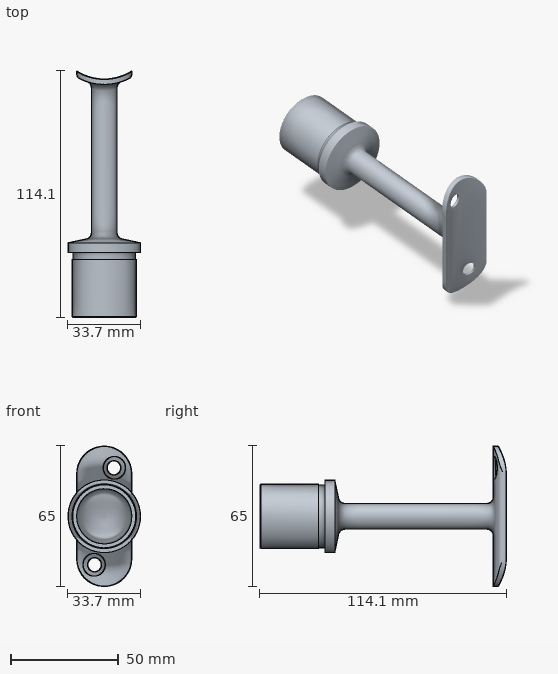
import cadquery as cq
import math

total_length = 114.1

sleeve_radius = 29.9 / 2
bore_radius = 25.6 / 2
sleeve_chamfer = 0.3
groove_radius = 29.2 / 2
groove_width = 3.1
collar_radius = 33.7 / 2
collar_start = 30.0
collar_width = 4.6
collar_end = collar_start + collar_width
floor_thickness = 1.9
bore_fillet = 1.8

stem_radius = 12.0 / 2
cone_slope = math.tan(math.radians(12))
stem_fillet = 2.9
joint_margin = 0.1

plate_width = 25.6
plate_height = 65.0
saddle_radius = 24.0
plate_thickness = 2.5
plate_edge_fillet = 2.3
plate_rim_chamfer = 0.2
rim_tilt = math.asin(plate_width / 2 / saddle_radius)
rim_half_width = plate_width / 2 - plate_rim_chamfer * math.cos(rim_tilt)
rail_axis_y = total_length + math.sqrt(saddle_radius**2 - rim_half_width**2)
plate_outer_radius = saddle_radius + plate_thickness

screw_radius = 6.5 / 2
counterbore_radius = 10.5 / 2
counterbore_depth = 1.5
screw_angle = 10.6
screw_height = 22.5


def cone_y(radius):
    """Y of the cone face behind the collar at a given radius."""
    return collar_end + (collar_radius - radius) * cone_slope


def rail_cylinder(radius):
    """Cylinder along Z around the handrail axis, as tall as the plate."""
    return (
        cq.Workplane("XY", origin=(0, rail_axis_y, -plate_height / 2))
        .circle(radius)
        .extrude(plate_height)
    )


def make_saddle_plate():
    """Curved strip with rounded long edges, semicircular ends and a chamfered saddle rim."""
    strip = cq.Workplane("XY").box(plate_width, 2 * plate_outer_radius, plate_height)
    strip = strip.translate((0, rail_axis_y - plate_outer_radius, 0))
    strip = strip.intersect(rail_cylinder(plate_outer_radius))
    strip = strip.faces("<X or >X").edges("|Z and <Y").fillet(plate_edge_fillet)
    strip = strip.cut(rail_cylinder(saddle_radius))
    outline = (
        cq.Workplane("XZ")
        .slot2D(plate_height, plate_width, 90)
        .extrude(-rail_axis_y)
    )
    plate = strip.intersect(outline)
    saddle_face = plate.faces(cq.selectors.NearestToPointSelector((0, total_length, 0)))
    return saddle_face.edges().chamfer(plate_rim_chamfer)


def make_stem():
    """Solid stem from the sleeve's open end to the saddle; the bore later hollows its start."""
    stem_end = rail_axis_y - saddle_radius
    stem = cq.Workplane("XZ").circle(stem_radius).extrude(-stem_end)
    return stem.cut(rail_cylinder(saddle_radius))


def make_sleeve_body():
    """Sleeve, groove, collar and cone, turned solid about Y."""
    groove_start = collar_start - groove_width
    return (
        cq.Workplane("XY")
        .moveTo(0, 0)
        .lineTo(sleeve_radius - sleeve_chamfer, 0)
        .lineTo(sleeve_radius, sleeve_chamfer)
        .lineTo(sleeve_radius, groove_start)
        .lineTo(groove_radius, groove_start)
        .lineTo(groove_radius, collar_start)
        .lineTo(collar_radius, collar_start)
        .lineTo(collar_radius, collar_end)
        .lineTo(0, cone_y(0))
        .close()
        .revolve(360, (0, 0, 0), (0, 1, 0))
    )


def make_bore():
    """Blind bore whose conical floor runs parallel to the outer cone."""
    return (
        cq.Workplane("XY")
        .moveTo(0, 0)
        .lineTo(bore_radius, 0)
        .lineTo(bore_radius, cone_y(bore_radius) - floor_thickness)
        .lineTo(0, cone_y(0) - floor_thickness)
        .close()
        .revolve(360, (0, 0, 0), (0, 1, 0))
        .edges("%CIRCLE")
        .edges(">Y")
        .fillet(bore_fillet)
    )


def make_screw_hole(side):
    """Counterbored hole; side +1 is the upper right one, -1 the lower left one."""
    angle = math.radians(side * screw_angle)
    inward = cq.Vector(-math.sin(angle), math.cos(angle), 0)
    rail_axis = cq.Vector(0, rail_axis_y, side * screw_height)
    floor_centre = rail_axis - inward * (plate_outer_radius - counterbore_depth)
    hole = cq.Solid.makeCylinder(screw_radius, saddle_radius, floor_centre, inward)
    counterbore = cq.Solid.makeCylinder(counterbore_radius, saddle_radius, floor_centre, -inward)
    return cq.Workplane(hole).union(cq.Workplane(counterbore))


def round_stem_joints(body):
    """Fillet the two edges where the stem meets the cone and the plate."""
    reach = stem_radius + joint_margin
    joints = cq.selectors.BoxSelector(
        (-reach, cone_y(reach), -reach),
        (reach, total_length, reach),
        boundingbox=True,
    )
    return body.edges("not |Y").edges(joints).fillet(stem_fillet)


result = make_saddle_plate().union(make_stem()).union(make_sleeve_body())
result = round_stem_joints(result)
result = result.cut(make_bore())
for side in (1, -1):
    result = result.cut(make_screw_hole(side))